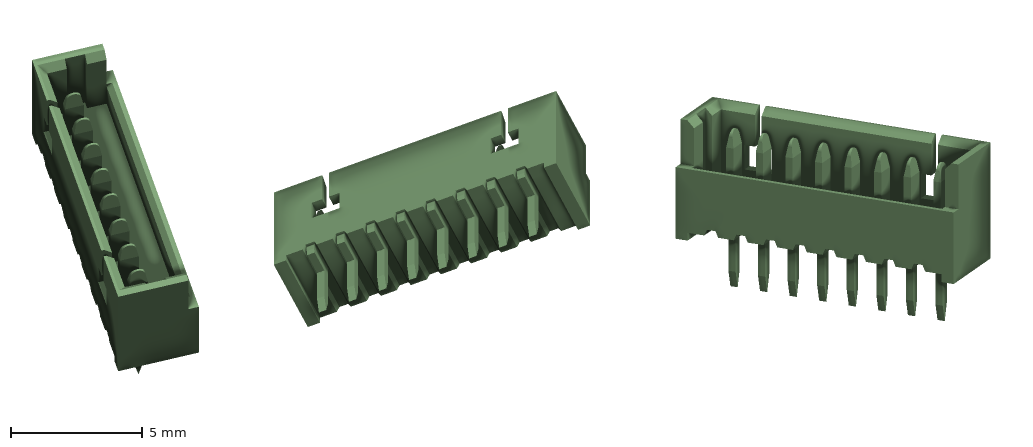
import cadquery as cq
length = 11.75
depth = 3.2
height = 4.7
back_wall_height = 2.89
step_depth = 0.41

floor_z = 1.65
end_wall = 0.58
front_wall = 0.42
back_wall = 0.41
end_lip = 0.29
front_lip = 0.12
lead_in_height = 0.28
back_lead_in_width = 0.22
back_lead_in_height = 0.18
groove_front_y = 1.21
groove_width = 0.8

keyhole_offset = 3.72
slot_width = 0.28
window_width = 1.15
window_bottom_z = 2.15
window_top_z = 3.14

foot_length = 0.5
foot_height = 0.32
notch_top_z = 0.56
notch_top_width = 0.36
notch_bottom_width = 0.59

pin_count = 8
pin_span = 8.75
pin_width = 0.3
pin_y = 1.2
tail_thickness = 0.35
tail_end_z = -2.35
tail_point_length = 0.68
blade_depth = 0.74
blade_taper_z = 3.37
blade_spring_z = 3.76
blade_top_z = 4.04
blade_tip_width = 0.08
blade_end_taper = 0.07

root_front_y = 0.06
root_top_z = 0.63
root_round = 0.21
root_chamfer_height = 0.21
root_chamfer_depth = 0.05

pin_pitch = pin_span / (pin_count - 1)
pin_positions = [(i - (pin_count - 1) / 2) * pin_pitch for i in range(pin_count)]
step_y = depth - step_depth
cavity_half = length / 2 - end_wall
lip_half = length / 2 - end_lip
cavity_back_y = depth - back_wall


def box(x_min, x_max, y_min, y_max, z_min, z_max):
    """Axis-aligned block between the given limits."""
    size = (x_max - x_min, y_max - y_min, z_max - z_min)
    return cq.Workplane("XY").box(*size, centered=False).translate((x_min, y_min, z_min))


def side_profile(points, x_min, x_max):
    """Closed (y, z) polygon extruded from x_min to x_max."""
    return cq.Workplane("YZ", origin=(x_min, 0, 0)).polyline(points).close().extrude(x_max - x_min)


def front_profile(points, y_min, y_max):
    """Closed (x, z) polygon extruded from y_min to y_max."""
    return cq.Workplane("XZ", origin=(0, y_min, 0)).polyline(points).close().extrude(y_min - y_max)


def make_shell():
    """Outer block with a lower back wall and an open-topped cavity."""
    outline = [
        (0, 0), (depth, 0), (depth, back_wall_height),
        (step_y, back_wall_height), (step_y, height), (0, height),
    ]
    shell = side_profile(outline, -length / 2, length / 2)
    shell = shell.cut(box(-cavity_half, cavity_half, front_wall, cavity_back_y, floor_z, height))
    return shell.cut(box(-cavity_half, cavity_half, cavity_back_y, depth, back_wall_height, height))


def cut_end_grooves(shell):
    """Vertical guide groove in each end wall."""
    groove_back_y = groove_front_y + groove_width
    return shell.cut(box(-lip_half, lip_half, groove_front_y, groove_back_y, floor_z, height))


def cut_lead_ins(shell):
    """Sloped rims along the front, end and back walls."""
    rim_z = height - lead_in_height
    end_rim = front_profile(
        [(-cavity_half, rim_z), (cavity_half, rim_z), (lip_half, height), (-lip_half, height)],
        front_lip, step_y,
    )
    front_rim = side_profile(
        [(front_lip, height), (front_wall, rim_z), (step_y, rim_z), (step_y, height)],
        -lip_half, lip_half,
    )
    shell = shell.cut(end_rim.intersect(front_rim))

    back_rim = side_profile(
        [
            (cavity_back_y, back_wall_height - back_lead_in_height),
            (cavity_back_y + back_lead_in_width, back_wall_height),
            (cavity_back_y, back_wall_height),
        ],
        -cavity_half, cavity_half,
    )
    return shell.cut(back_rim)


def cut_keyholes(shell):
    """Narrow slot down to a wider window, near each end of the front wall."""
    for x in (-keyhole_offset, keyhole_offset):
        slot = box(x - slot_width / 2, x + slot_width / 2, 0, front_wall, window_top_z, height)
        window = box(
            x - window_width / 2, x + window_width / 2, 0, front_wall, window_bottom_z, window_top_z
        )
        shell = shell.cut(slot).cut(window)
    return shell


def cut_underside(shell):
    """Raise the underside between the end feet and notch it at every pin."""
    recess_half = length / 2 - foot_length
    shell = shell.cut(box(-recess_half, recess_half, 0, depth, 0, foot_height))
    for x in pin_positions:
        notch = front_profile(
            [
                (x - notch_bottom_width / 2, foot_height), (x + notch_bottom_width / 2, foot_height),
                (x + notch_top_width / 2, notch_top_z), (x - notch_top_width / 2, notch_top_z),
            ],
            0, depth,
        )
        shell = shell.cut(notch)
    return shell


def make_blade():
    """Contact blade with a tapered, round-topped tip."""
    base_half = blade_depth / 2
    tip_half = base_half - blade_end_taper
    side = (
        cq.Workplane("YZ", origin=(-pin_width / 2, 0, 0))
        .moveTo(pin_y - base_half, notch_top_z)
        .lineTo(pin_y + base_half, notch_top_z)
        .lineTo(pin_y + base_half, blade_taper_z)
        .lineTo(pin_y + tip_half, blade_spring_z)
        .threePointArc((pin_y, blade_top_z), (pin_y - tip_half, blade_spring_z))
        .lineTo(pin_y - base_half, blade_taper_z)
        .close()
        .extrude(pin_width)
    )
    front = front_profile(
        [
            (-pin_width / 2, notch_top_z), (pin_width / 2, notch_top_z), (pin_width / 2, blade_taper_z),
            (blade_tip_width / 2, blade_top_z), (-blade_tip_width / 2, blade_top_z),
            (-pin_width / 2, blade_taper_z),
        ],
        0, depth,
    )
    return side.intersect(front)


def make_root():
    """Horizontal bend of the pin, rounded above and chamfered below at its front end."""
    root = side_profile(
        [
            (root_front_y + root_chamfer_depth, 0), (pin_y + tail_thickness / 2, 0),
            (pin_y + tail_thickness / 2, root_top_z), (root_front_y, root_top_z),
            (root_front_y, root_chamfer_height),
        ],
        -pin_width / 2, pin_width / 2,
    )
    return root.edges("|X").edges(">Z").edges("<Y").fillet(root_round)


def make_tail():
    """Solder tail ending in a wedge point."""
    tail_half = tail_thickness / 2
    point_z = tail_end_z + tail_point_length
    return side_profile(
        [
            (pin_y - tail_half, 0), (pin_y - tail_half, point_z), (pin_y, tail_end_z),
            (pin_y + tail_half, point_z), (pin_y + tail_half, 0),
        ],
        -pin_width / 2, pin_width / 2,
    )


housing = cut_underside(cut_keyholes(cut_lead_ins(cut_end_grooves(make_shell()))))
pin = make_blade().union(make_root()).union(make_tail())

result = housing
for pin_x in pin_positions:
    result = result.union(pin.translate((pin_x, 0, 0)))